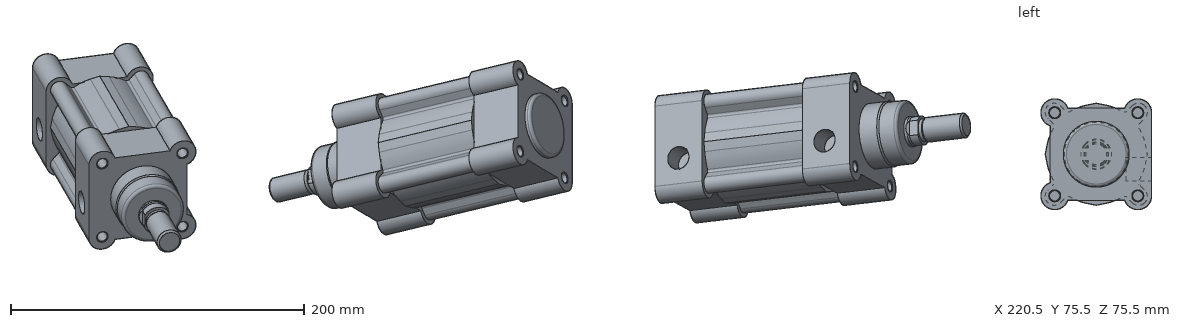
import cadquery as cq
import math


tolerance = 0.02

rear_boss_length = 4.2
cap_length = 35.5
barrel_length = 75.2
front_collar_length = 28.0
total_length = 220.5

rear_cap_start = rear_boss_length
barrel_start = rear_cap_start + cap_length
front_cap_start = barrel_start + barrel_length
collar_start = front_cap_start + cap_length
rod_start = collar_start + front_collar_length

cap_size = 75.5
cap_half_size = cap_size / 2
lobe_radius = 9.5
lobe_offset = cap_half_size - lobe_radius
waist_half_size = 31.5

screw_radius = 3.5
screw_chamfer = 0.55
screw_depth = 17.6

port_radius = 8.0
port_depth = 17.6
port_z = -10.1
rear_port_from_outer_end = 17.6
front_port_from_outer_end = 19.0

boss_radius = 22.5
boss_fillet = 2.2
collar_step_length = 14.5
collar_thread_radius = 21.8
collar_end_fillet = 2.2
collar_step_taper = 1.3

barrel_radius = 34.2
ridge_height = 34.8
rib_width = 12.1
rib_radius = rib_width / 2
rib_offset = ridge_height - rib_radius
rib_root_fillet = 2.0

rod_shoulder_radius = 10.4
rod_shoulder_length = 2.0
rod_radius = 10.0
rod_taper_length = 1.3
flats_end = 188.0
width_across_flats = 17.0
flat_half_width = width_across_flats / 2
groove_start_radius = 8.0
groove_radius = 7.0
groove_end = 190.0
thread_diameter = 17.0
thread_radius = thread_diameter / 2
thread_chamfer = 1.3


def x_cylinder(start, length, radius, y=0.0, z=0.0):
    """Cylinder parallel to the X axis."""
    return cq.Workplane("YZ", origin=(start, 0, 0)).center(y, z).circle(radius).extrude(length)


def corner_points(offset):
    """The four (Y, Z) points at this distance from both the XY and XZ planes."""
    return [(y, z) for y in (-offset, offset) for z in (-offset, offset)]


def cap_block(start):
    """Square block with four round lobes; its -Y side is flat, tangent to the lobes."""
    plane = cq.Workplane("YZ", origin=(start, 0, 0))
    block_depth = lobe_offset + waist_half_size
    block = (
        plane.center(waist_half_size - block_depth / 2, 0)
        .rect(block_depth, 2 * waist_half_size)
        .extrude(cap_length)
    )
    flat_depth = cap_half_size - lobe_offset
    flat_side = (
        plane.center(-cap_half_size + flat_depth / 2, 0)
        .rect(flat_depth, 2 * lobe_offset)
        .extrude(cap_length)
    )
    block = block.union(flat_side)
    for y, z in corner_points(lobe_offset):
        block = block.union(x_cylinder(start, cap_length, lobe_radius, y, z))
    return block.clean()


def screw_holes(face_x, direction):
    """Four chamfered blind holes going from face_x in the given X direction."""
    half_profile = [
        (0, 0),
        (0, screw_radius + screw_chamfer),
        (screw_chamfer, screw_radius),
        (screw_depth, screw_radius),
        (screw_depth, 0),
    ]
    hole = (
        cq.Workplane("XY")
        .polyline([(face_x + direction * depth, radius) for depth, radius in half_profile])
        .close()
        .revolve(360, (0, 0, 0), (1, 0, 0))
    )
    return [hole.translate((0, y, z)) for y, z in corner_points(lobe_offset)]


def port(x):
    """Blind air port going in from the -Y face."""
    return (
        cq.Workplane("XZ", origin=(x, -cap_half_size, port_z))
        .circle(port_radius)
        .extrude(-port_depth)
    )


def make_rear_cap():
    boss = x_cylinder(0, rear_boss_length, boss_radius).faces("<X").edges().fillet(boss_fillet)
    cap = cap_block(rear_cap_start).union(boss)
    for hole in screw_holes(rear_cap_start, 1):
        cap = cap.cut(hole)
    return cap.cut(port(rear_cap_start + rear_port_from_outer_end))


def make_front_cap():
    taper_end = collar_start + collar_step_length
    collar = (
        cq.Workplane("XZ")
        .moveTo(collar_start, 0)
        .lineTo(collar_start, boss_radius)
        .lineTo(taper_end - collar_step_taper, boss_radius)
        .lineTo(taper_end, collar_thread_radius)
        .lineTo(rod_start, collar_thread_radius)
        .lineTo(rod_start, 0)
        .close()
        .revolve(360, (0, 0, 0), (1, 0, 0))
        .faces(">X")
        .edges()
        .fillet(collar_end_fillet)
    )
    cap = cap_block(front_cap_start).union(collar)
    for hole in screw_holes(collar_start, -1):
        cap = cap.cut(hole)
    return cap.cut(port(collar_start - front_port_from_outer_end))


def is_rib_root(edge):
    """True for an edge at the barrel radius, half a rib width away from a diagonal."""
    y = abs(edge.Center().y)
    z = abs(edge.Center().z)
    distance_from_diagonal = abs(y - z) / math.sqrt(2)
    on_round_body = math.isclose(math.hypot(y, z), barrel_radius, abs_tol=tolerance)
    return on_round_body and math.isclose(distance_from_diagonal, rib_radius, abs_tol=tolerance)


def make_barrel():
    """Round body with a blunt ridge on each side and a round-ended rib in each corner."""
    barrel = x_cylinder(barrel_start, barrel_length, barrel_radius)
    plane = cq.Workplane("YZ", origin=(barrel_start, 0, 0))

    rib_reach = rib_offset * math.sqrt(2)
    rib = (
        plane.moveTo(0, -rib_radius)
        .lineTo(rib_reach, -rib_radius)
        .threePointArc((rib_reach + rib_radius, 0), (rib_reach, rib_radius))
        .lineTo(0, rib_radius)
        .close()
        .extrude(barrel_length)
    )
    for quarter in range(4):
        barrel = barrel.union(rib.rotate((0, 0, 0), (1, 0, 0), 45 + 90 * quarter))

    roots = barrel.edges("|X").filter(is_rib_root)
    barrel = roots.fillet(rib_root_fillet)

    touch_z = barrel_radius**2 / ridge_height
    touch_y = math.sqrt(barrel_radius**2 - touch_z**2)
    ridge = (
        plane.polyline([(0, 0), (touch_y, touch_z), (0, ridge_height), (-touch_y, touch_z)])
        .close()
        .extrude(barrel_length)
    )
    for quarter in range(4):
        barrel = barrel.union(ridge.rotate((0, 0, 0), (1, 0, 0), 90 * quarter))
    return barrel


def make_rod():
    """Turned rod end with two wrench flats, an undercut and a thread."""
    shoulder_end = rod_start + rod_shoulder_length
    taper_end = shoulder_end + rod_taper_length
    thread_start = groove_end + thread_radius - groove_radius
    rod = (
        cq.Workplane("XY")
        .polyline(
            [
                (rod_start, 0),
                (rod_start, rod_shoulder_radius),
                (shoulder_end, rod_shoulder_radius),
                (taper_end, rod_radius),
                (flats_end, rod_radius),
                (flats_end, groove_start_radius),
                (groove_end, groove_radius),
                (thread_start, thread_radius),
                (total_length - thread_chamfer, thread_radius),
                (total_length, thread_radius - thread_chamfer),
                (total_length, 0),
            ]
        )
        .close()
        .revolve(360, (0, 0, 0), (1, 0, 0))
    )
    run_out = 2 * rod_taper_length
    flat_cut = (
        cq.Workplane("XY")
        .polyline(
            [
                (taper_end, flat_half_width),
                (flats_end, flat_half_width),
                (flats_end, flat_half_width + run_out),
                (taper_end - run_out, flat_half_width + run_out),
            ]
        )
        .close()
        .extrude(rod_shoulder_radius, both=True)
    )
    return rod.cut(flat_cut).cut(flat_cut.mirror("XZ"))


rear_cap = make_rear_cap()
barrel = make_barrel()
front_cap = make_front_cap()
rod = make_rod()

result = cq.Compound.makeCompound([rear_cap.val(), barrel.val(), front_cap.val(), rod.val()])